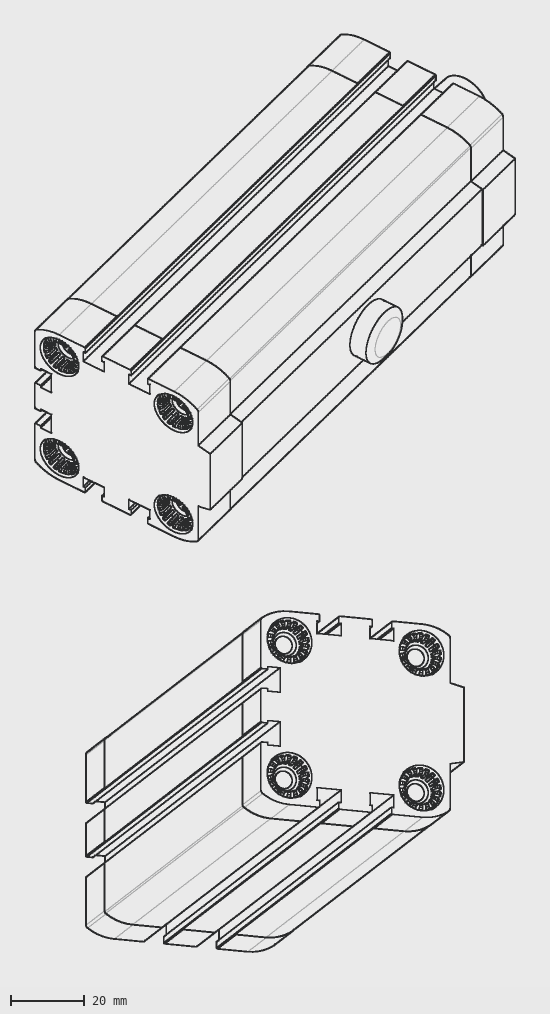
import cadquery as cq
import math

body_width = 54.5
body_length = 142.6
cap_length = 15.05
cap_step = 0.1
half_width = body_width / 2

corner_flat_half = 19.2
corner_radius = 13.2
cap_edge_radius = 1.0
barrel_edge_radius = 0.6

rail_reach = 31.25
barrel_rail_reach = 30.9
rail_root_half = 11.4
rail_face_half = 10.5

slot_pitch = 15.2
slot_mouth = 5.5
slot_mouth_chamfer = 0.25
slot_width = 6.9
slot_lip = 2.0
slot_depth = 5.5

hole_pitch = 38.0
through_diameter = 4.92
thread_entry_diameter = 6.65
bore_diameter = 12.8
bore_depth = 4.0
ring_inner_diameter = 8.5
ring_inner_rim = 9.5
ring_outer_rim = 10.8
ring_outer_diameter = 11.9
ring_setback = 0.3
tooth_count = 18

rod_diameter = 16.0
rod_tip_diameter = 15.0
rod_length = 20.3
rod_straight_length = 10.2
flat_across = 13.0
flat_start = 2.3
flat_length = 6.5
flat_angle = 30.0

plug_diameter = 17.0
plug_end_x = 37.4
plug_y = 74.3
plug_end_diameter = 11.9
plug_rounding_length = 1.15


def outline_prism(half, reach, start, length):
    """Square section with four arc-blunted corners and the tapered rail on +X."""
    arc_run = half - corner_flat_half
    arc_drop = corner_radius - math.sqrt(corner_radius**2 - arc_run**2)
    mid_run = arc_run / 2
    mid_drop = corner_radius - math.sqrt(corner_radius**2 - mid_run**2)
    flat = corner_flat_half
    mid = flat + mid_run
    section = (
        cq.Workplane("XZ", origin=(0, start, 0))
        .moveTo(-flat, half)
        .lineTo(flat, half)
        .threePointArc((mid, half - mid_drop), (half, half - arc_drop))
        .lineTo(half, rail_root_half)
        .lineTo(reach, rail_face_half)
        .lineTo(reach, -rail_face_half)
        .lineTo(half, -rail_root_half)
        .lineTo(half, -half + arc_drop)
        .threePointArc((mid, -half + mid_drop), (flat, -half))
        .lineTo(-flat, -half)
        .threePointArc((-mid, -half + mid_drop), (-half, -half + arc_drop))
        .lineTo(-half, half - arc_drop)
        .threePointArc((-mid, half - mid_drop), (-flat, half))
        .close()
    )
    return section.extrude(-length)


def round_side_edges(prism, half, radius):
    """Round the four long edges where the corner arcs meet the flat sides."""
    arc_run = half - corner_flat_half
    edge_height = half - corner_radius + math.sqrt(corner_radius**2 - arc_run**2)
    margin = 0.2
    upper = cq.selectors.BoxSelector(
        (-half - margin, -body_length, edge_height - margin),
        (half + margin, 2 * body_length, edge_height + margin),
    )
    lower = cq.selectors.BoxSelector(
        (-half - margin, -body_length, -edge_height - margin),
        (half + margin, 2 * body_length, -edge_height + margin),
    )
    return prism.edges("|Y").edges(upper + lower).fillet(radius)


def make_cap(start):
    prism = outline_prism(half_width, rail_reach, start, cap_length)
    return round_side_edges(prism, half_width, cap_edge_radius)


def make_barrel():
    half = half_width - cap_step
    prism = outline_prism(half, barrel_rail_reach, cap_length, body_length - 2 * cap_length)
    return round_side_edges(prism, half, barrel_edge_radius)


def slot_cutter(turn, offset):
    """T-slot open toward +Z, then turned about Y to its side."""
    mouth_half = slot_mouth / 2
    chamber_half = slot_width / 2
    floor = half_width - slot_depth
    lip = half_width - slot_lip
    right_side = [
        (chamber_half, floor),
        (chamber_half, lip),
        (mouth_half, lip),
        (mouth_half, half_width - slot_mouth_chamfer),
        (mouth_half + slot_mouth_chamfer, half_width),
    ]
    left_side = [(-x, z) for x, z in reversed(right_side)]
    tee = cq.Workplane("XZ").polyline(right_side + left_side).close().extrude(-body_length)
    tee = tee.translate((offset, 0, 0))
    return tee.rotate((0, 0, 0), (0, 1, 0), turn)


def turned(points):
    """Solid of revolution about Y from (radius, Y) points."""
    return cq.Workplane("XY").polyline(points).close().revolve(360, (0, 0, 0), (0, 1, 0))


def hole_cutter():
    """Space removed at one mounting hole: through hole, bore, and the gaps round the toothed ring."""
    entry_chamfer = (thread_entry_diameter - through_diameter) / 2
    bore = turned([
        (0, 0),
        (bore_diameter / 2, 0),
        (bore_diameter / 2, bore_depth),
        (thread_entry_diameter / 2, bore_depth),
        (through_diameter / 2, bore_depth + entry_chamfer),
        (through_diameter / 2, body_length),
        (0, body_length),
    ])
    inner_chamfer = (ring_inner_rim - ring_inner_diameter) / 2
    outer_chamfer = (ring_outer_diameter - ring_outer_rim) / 2
    ring = turned([
        (ring_inner_diameter / 2, bore_depth),
        (ring_inner_diameter / 2, ring_setback + inner_chamfer),
        (ring_inner_rim / 2, ring_setback),
        (ring_outer_rim / 2, ring_setback),
        (ring_outer_diameter / 2, ring_setback + outer_chamfer),
        (ring_outer_diameter / 2, bore_depth),
    ])
    half_gap = math.pi / (2 * tooth_count)
    reach = bore_diameter / 2
    side = reach * math.tan(half_gap)
    gap = (
        cq.Workplane("XZ")
        .polyline([(0, 0), (reach, side), (reach, -side)])
        .close()
        .extrude(-bore_depth)
    )
    for i in range(tooth_count):
        ring = ring.cut(gap.rotate((0, 0, 0), (0, 1, 0), i * 360 / tooth_count))
    return bore.cut(ring)


def make_housing():
    housing = make_barrel()
    for cap_start in (0, body_length - cap_length):
        housing = housing.union(make_cap(cap_start))
    for turn in (0, 180, -90):
        for offset in (-slot_pitch / 2, slot_pitch / 2):
            housing = housing.cut(slot_cutter(turn, offset))
    cutter = hole_cutter()
    for x in (-hole_pitch / 2, hole_pitch / 2):
        for z in (-hole_pitch / 2, hole_pitch / 2):
            housing = housing.cut(cutter.translate((x, 0, z)))
    return housing


def make_rod():
    radius = rod_diameter / 2
    rod = turned([
        (0, body_length),
        (radius, body_length),
        (radius, body_length + rod_straight_length),
        (rod_tip_diameter / 2, body_length + rod_length),
        (0, body_length + rod_length),
    ])
    depth = (rod_diameter - flat_across) / 2
    start = body_length + flat_start
    flat_half = flat_across / 2
    notch = (
        cq.Workplane("XY")
        .polyline([
            (flat_half, start),
            (radius, start - depth),
            (radius, start + flat_length + depth),
            (flat_half, start + flat_length),
        ])
        .close()
        .extrude(radius, both=True)
    )
    for turn in (0, 180):
        rod = rod.cut(notch.rotate((0, 0, 0), (0, 1, 0), turn - flat_angle))
    return rod


def make_plug():
    """Round plug whose rim curves smoothly into its flat end face."""
    radius = plug_diameter / 2
    end_radius = plug_end_diameter / 2
    drop = radius - end_radius
    rounding_radius = (drop**2 + plug_rounding_length**2) / (2 * plug_rounding_length)
    plug = (
        cq.Workplane("XY")
        .moveTo(barrel_rail_reach, 0)
        .lineTo(plug_end_x, 0)
        .lineTo(plug_end_x, end_radius)
        .radiusArc((plug_end_x - plug_rounding_length, radius), -rounding_radius)
        .lineTo(barrel_rail_reach, radius)
        .close()
        .revolve(360, (0, 0, 0), (1, 0, 0))
    )
    return plug.translate((0, plug_y, 0))


housing = make_housing()
rod = make_rod()
plug = make_plug()
result = cq.Compound.makeCompound([housing.val(), rod.val(), plug.val()])